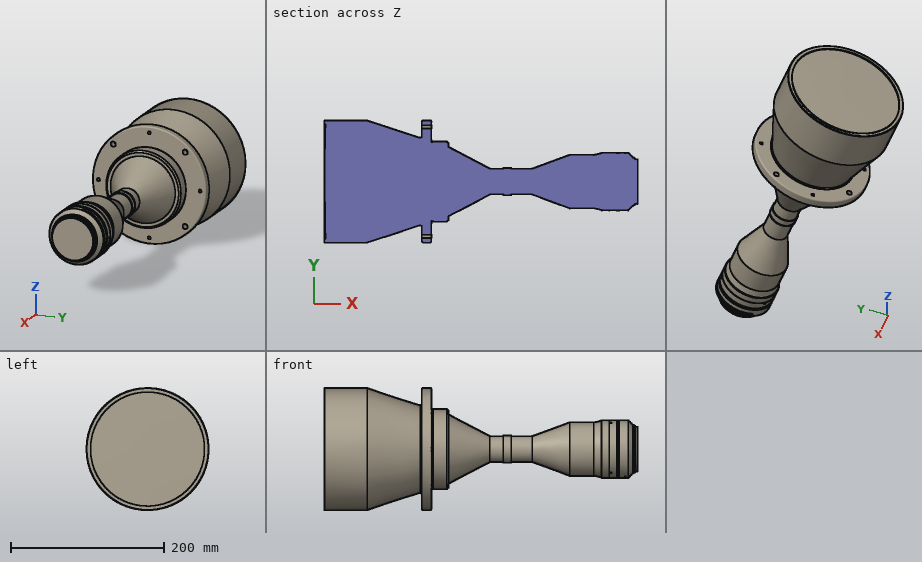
import cadquery as cq

overall_length = 409.61

FULL_TURN = 360
QUARTER_TURN = 90

barrel_radius = 80.0
rim_chamfer = 0.6
barrel_end = 56.0
barrel_cone_end = 124.5
barrel_cone_end_radius = 57.5

lens_radius = 74.5
lens_recess = 1.5
lens_sag = 1.2
lens_vertex = lens_recess - lens_sag
lens_curvature_radius = (lens_radius**2 + lens_sag**2) / (2 * lens_sag)

neck_start = 125.5
neck_radius = 58.5
flange_start = 127.4
flange_end = 140.2
flange_radius = 80.0
flange_edge_radius = 2.0

hole_circle_radius = 71.5
hole_count = 4
bolt_hole_diameter = 7.0
bolt_hole_angle = 45.0
dowel_hole_diameter = 4.0
dowel_hole_angle = 0.0

collar_start = 142.2
collar_end = 162.4
collar_radius = 52.7
collar_chamfer = 2.4
collar_relief_radius = 51.5

waist_cone_start_radius = 45.5
waist_cone_end_radius = 17.8
tube_start = 215.2
tube_blend = 1.2
tube_end = 271.5
tube_radius = 17.0
ring_start = 234.0
ring_end = 244.0
ring_radius = 18.0

housing_start = 321.0
housing_end = 350.8
housing_radius = 35.3
grip_start = 361.7
grip_radius = 38.0
grip_edge_chamfer = 0.8
housing_edge_length = 1.2
housing_edge_drop = 0.3
grip_end = 397.0

band_positions = (382.2, 384.4)
band_width = 1.0
band_depth = 0.4
line_groove_position = 372.0
line_groove_width = 0.3
line_groove_depth = 0.2

slot_start = 392.6
slot_width = 1.5
slot_depth = 0.5
slot_first_angle = 162.0
slot_last_angle = 349.0

screw_position = 374.0
screw_hole_diameter = 2.5
screw_hole_depth = 3.0
screw_first_angle = 25.0
screw_count = 3

grip_cone_end = 403.0
grip_cone_end_radius = 32.0
shoulder_end = 406.0
shoulder_radius = 31.2
shoulder_chamfer = 1.0
mount_radius = 29.5
mount_chamfer = 0.8


def make_body():
    """Revolve the half outline (x, radius) about the X axis."""
    outline = (
        cq.Workplane("XY")
        .moveTo(lens_vertex, 0)
        .radiusArc((lens_recess, lens_radius), lens_curvature_radius)
        .lineTo(0, lens_radius)
        .lineTo(0, barrel_radius - rim_chamfer)
        .lineTo(rim_chamfer, barrel_radius)
        .lineTo(barrel_end, barrel_radius)
        .lineTo(barrel_cone_end, barrel_cone_end_radius)
        .lineTo(neck_start, barrel_cone_end_radius)
        .lineTo(flange_start, neck_radius)
        .lineTo(flange_start, flange_radius - flange_edge_radius)
        .radiusArc((flange_start + flange_edge_radius, flange_radius), flange_edge_radius)
        .lineTo(flange_end - flange_edge_radius, flange_radius)
        .radiusArc((flange_end, flange_radius - flange_edge_radius), flange_edge_radius)
        .lineTo(flange_end, collar_relief_radius)
        .lineTo(collar_start, collar_radius)
        .lineTo(collar_end - collar_chamfer, collar_radius)
        .lineTo(collar_end, collar_radius - collar_chamfer)
        .lineTo(collar_end, waist_cone_start_radius)
        .lineTo(tube_start, waist_cone_end_radius)
        .lineTo(tube_start + tube_blend, tube_radius)
        .lineTo(ring_start, tube_radius)
        .lineTo(ring_start, ring_radius)
        .lineTo(ring_end, ring_radius)
        .lineTo(ring_end, tube_radius)
        .lineTo(tube_end, tube_radius)
        .lineTo(housing_start, housing_radius)
        .lineTo(housing_end, housing_radius)
        .lineTo(housing_end + housing_edge_length, housing_radius - housing_edge_drop)
        .lineTo(grip_start, grip_radius - grip_edge_chamfer)
        .lineTo(grip_start + grip_edge_chamfer, grip_radius)
        .lineTo(grip_end, grip_radius)
        .lineTo(grip_cone_end, grip_cone_end_radius)
        .lineTo(shoulder_end - shoulder_chamfer, shoulder_radius)
        .lineTo(shoulder_end, shoulder_radius - shoulder_chamfer)
        .lineTo(shoulder_end, mount_radius)
        .lineTo(overall_length - mount_chamfer, mount_radius)
        .lineTo(overall_length, mount_radius - mount_chamfer)
        .lineTo(overall_length, 0)
        .close()
    )
    return outline.revolve(FULL_TURN, (0, 0, 0), (1, 0, 0))


def groove_cutter(start, width, depth, sweep=FULL_TURN):
    """Ring cut into the grip, swept about +X from the +Y side."""
    return (
        cq.Workplane("XY")
        .moveTo(start + width / 2, grip_radius)
        .rect(width, 2 * depth)
        .revolve(sweep, (0, 0, 0), (1, 0, 0))
    )


def cut_grip_grooves(body):
    for position in band_positions:
        body = body.cut(groove_cutter(position, band_width, band_depth))
    body = body.cut(groove_cutter(line_groove_position, line_groove_width, line_groove_depth))
    sweep = slot_last_angle - slot_first_angle
    slot = groove_cutter(slot_start, slot_width, slot_depth, sweep)
    return body.cut(slot.rotate((0, 0, 0), (1, 0, 0), slot_first_angle + QUARTER_TURN))


def cut_flange_holes(body, diameter, first_angle):
    holes = (
        cq.Workplane("YZ", origin=(flange_start, 0, 0))
        .polarArray(hole_circle_radius, first_angle, FULL_TURN, hole_count)
        .circle(diameter / 2)
        .extrude(flange_end - flange_start)
    )
    return body.cut(holes)


def cut_screw_holes(body):
    for index in range(screw_count):
        angle = screw_first_angle + index * FULL_TURN / screw_count
        hole = (
            cq.Workplane("XY", origin=(screw_position, 0, grip_radius - screw_hole_depth))
            .circle(screw_hole_diameter / 2)
            .extrude(2 * screw_hole_depth)
            .rotate((0, 0, 0), (1, 0, 0), angle)
        )
        body = body.cut(hole)
    return body


result = make_body()
result = cut_grip_grooves(result)
result = cut_flange_holes(result, bolt_hole_diameter, bolt_hole_angle)
result = cut_flange_holes(result, dowel_hole_diameter, dowel_hole_angle)
result = cut_screw_holes(result)